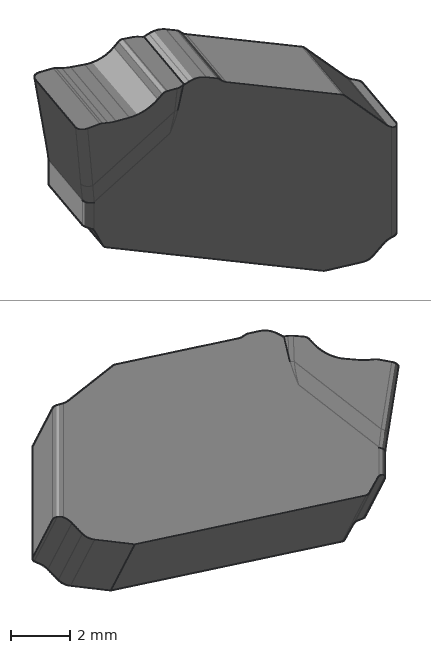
import cadquery as cq
import math


shank_width = 3.4
length = 12.0
half_shank = shank_width / 2
slope_angle = 20.0
slope = math.tan(math.radians(slope_angle))

edge_height = 8.0
front_relief = 7.0
relief_bottom = 4.83
heel_bottom = 3.84
front_face_y = (edge_height - relief_bottom) * math.tan(math.radians(front_relief))

lip_length = 0.84
lip_angle = 6.0
lip_rise = lip_length * math.tan(math.radians(lip_angle))
lip_radius = 0.3
groove_start = 1.25
groove_entry_radius = 1.6
groove_end = 2.541
groove_height = edge_height + 0.005
groove_radius = 1.5
land_height = 8.69
land_start = groove_end + land_height - groove_height
land_start_radius = 0.25
land_end = 4.03

crest_y = 4.52
crest_apex = 8.905
crest_radius = 0.85
step_y = 5.29
step_top = crest_apex - (step_y - crest_y) * slope
step_radius = 0.22
step_foot_y = 5.5
step_foot = 8.44
step_foot_radius = 0.45

shoulder_y = 9.93
shoulder_height = step_foot - (shoulder_y - step_foot_y) * slope
shoulder_radius = 0.25
back_top = 5.05
back_top_y = shoulder_y + shoulder_height - back_top
back_top_radius = 0.65
back_bottom = 0.745
back_bottom_y = 11.61
back_bottom_radius = 0.7
base_back_y = back_bottom_y - back_bottom
base_back_radius = 0.6

base_front_y = 9.2
heel_y = 1.06
heel_height = (base_front_y - heel_y) * slope
heel_radius = 0.2
heel_angle = 64.5
heel_notch_y = heel_y - (heel_bottom - heel_height) / math.tan(math.radians(heel_angle))
heel_notch_radius = 0.3

flare_angle = 6.85
flare_line_angle = 36.0
flare_line_height = 4.95
flare_line_y = 0.3
flare_blend_radius = 5.0
flare_rear_y = 4.0
flare_rear_angle = 30.0
flare_rear_lean = 0.22
flare_rear_radius = 0.4

corner_radius = 0.3
tolerance = 0.001
headroom = 2.0
reach = 16.0


def direction(start, end):
    """Unit vector from one outline point to another."""
    dy = end[0] - start[0]
    dz = end[1] - start[1]
    distance = math.hypot(dy, dz)
    return dy / distance, dz / distance


def rounded_outline(corners):
    """Closed YZ wire through (y, z, radius) corners, with an arc at each non-zero radius."""
    wire = None
    for index, (y, z, radius) in enumerate(corners):
        before = direction((y, z), corners[index - 1])
        after = direction((y, z), corners[(index + 1) % len(corners)])
        half_angle = math.acos(before[0] * after[0] + before[1] * after[1]) / 2
        setback = radius / math.tan(half_angle)
        arc_start = (y + before[0] * setback, z + before[1] * setback)
        wire = wire.lineTo(*arc_start) if wire else cq.Workplane("YZ").moveTo(*arc_start)
        if radius > 0:
            bisector = direction((0, 0), (before[0] + after[0], before[1] + after[1]))
            depth = radius / math.sin(half_angle) - radius
            arc_middle = (y + bisector[0] * depth, z + bisector[1] * depth)
            arc_end = (y + after[0] * setback, z + after[1] * setback)
            wire = wire.threePointArc(arc_middle, arc_end)
    return wire.close()


def side_profile():
    """The insert's side outline, extruded wider than the head."""
    corners = [
        (0, edge_height, 0),
        (lip_length, edge_height + lip_rise, lip_radius),
        (groove_start, groove_height, groove_entry_radius),
        (groove_end, groove_height, groove_radius),
        (land_start, land_height, land_start_radius),
        (land_end, land_height, 0),
        (crest_y, crest_apex, crest_radius),
        (step_y, step_top, step_radius),
        (step_foot_y, step_foot, step_foot_radius),
        (shoulder_y, shoulder_height, shoulder_radius),
        (back_top_y, back_top, back_top_radius),
        (length, back_top, 0),
        (length, back_bottom, 0),
        (back_bottom_y, back_bottom, back_bottom_radius),
        (base_back_y, 0, base_back_radius),
        (base_front_y, 0, 0),
        (heel_y, heel_height, heel_radius),
        (heel_notch_y, heel_bottom, heel_notch_radius),
        (front_face_y, heel_bottom, 0),
        (front_face_y, relief_bottom, 0),
    ]
    return rounded_outline(corners).extrude(reach / 2, both=True)


def flare():
    """Wedge on the +X side that swells out of the shank side through a large blend."""
    climb = math.radians(flare_line_angle)
    tilt = math.radians(flare_angle)
    plane = cq.Plane(
        origin=(half_shank, flare_line_y, flare_line_height),
        xDir=(0, -math.sin(climb), math.cos(climb)),
        normal=(0, math.cos(climb), math.sin(climb)),
    )
    tangent = flare_blend_radius * math.tan(tilt / 2)
    blend_middle = (
        flare_blend_radius * math.sin(tilt / 2) - tangent,
        flare_blend_radius * (1 - math.cos(tilt / 2)),
    )
    wedge = (
        cq.Workplane(plane)
        .moveTo(-reach, -half_shank)
        .lineTo(-reach, 0)
        .lineTo(-tangent, 0)
        .threePointArc(blend_middle, (tangent * math.cos(tilt), tangent * math.sin(tilt)))
        .lineTo(reach, reach * math.tan(tilt))
        .lineTo(reach, -half_shank)
        .close()
        .extrude(reach, both=True)
    )
    return round_flare_rear(wedge.intersect(flare_rear_limit()))


def round_flare_rear(wedge):
    """Round the edge between the flared side and the leaning face behind it."""
    rear_face = wedge.faces(cq.selectors.ParallelDirSelector(flare_rear_plane().zDir))
    low = (half_shank - tolerance, 0, -reach)
    high = (reach, crest_y, 2 * reach)
    return rear_face.edges(cq.selectors.BoxSelector(low, high)).fillet(flare_rear_radius)


def flare_rear_plane():
    """Leaning plane that ends the flare, facing backwards and outwards."""
    across = 1 / math.tan(math.radians(flare_rear_angle))
    return cq.Plane(
        origin=(half_shank, flare_rear_y, land_height),
        xDir=(1, -across, 0),
        normal=(across, 1, -flare_rear_lean),
    )


def flare_rear_limit():
    """Space in front of the plane that ends the flare."""
    return cq.Workplane(flare_rear_plane()).rect(2 * reach, 2 * reach).extrude(-reach)


def width_envelope():
    """Upright block with the flared plan and rounded corners, to be cut to the side profile."""
    slab = cq.Workplane("XY").box(shank_width, 2 * reach, 2 * reach)
    one_flare = flare()
    block = slab.union(one_flare).union(one_flare.mirror("YZ")).intersect(end_limits())
    back_corners = block.faces(">Y").edges("|Z")
    block = back_corners.fillet(corner_radius)
    front_corners = block.faces("<Y").edges("not |X")
    block = front_corners.fillet(corner_radius)
    return block.union(lower_front())


def end_limits():
    """Space between the back face and the clearance plane, open above and below the insert."""
    relief = math.tan(math.radians(front_relief))
    block_top = edge_height + headroom
    return (
        cq.Workplane("YZ")
        .moveTo(block_top * relief, -headroom)
        .lineTo(-headroom * relief, block_top)
        .lineTo(length, block_top)
        .lineTo(length, -headroom)
        .close()
        .extrude(reach, both=True)
    )


def lower_front():
    """Upright front below the clearance face, with rounded corners, reaching back into the shank."""
    return (
        cq.Workplane("XY")
        .rect(shank_width, 2 * (crest_y - front_face_y))
        .extrude(relief_bottom)
        .edges("|Z and <Y")
        .fillet(corner_radius)
        .translate((0, crest_y, 0))
    )


result = side_profile().intersect(width_envelope())